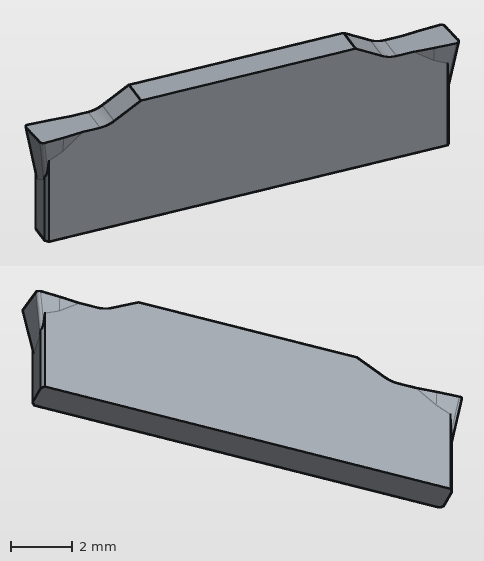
import math

import cadquery as cq


cutting_width = 1.2
overall_length = 15.0
overall_height = 4.72

body_width = 1.0
body_length = 14.4
rake_height = 4.035
top_flat_length = 7.64
ramp_angle = math.radians(30)
ramp_blend_radius = 1.0
end_chamfer_across = 0.12
end_chamfer_along = 0.10

corner_radius = 0.12
front_lead_slope = math.tan(math.radians(5))
front_relief_slope = math.tan(math.radians(8))
side_relief_slope = math.tan(math.radians(6.2))
side_taper_slope = math.tan(math.radians(3.1))
kink_y = -6.6
blend_y = -5.89
tip_depth = 2.15


def make_body():
    """Plate with a raised middle, ramps down to the rake level and chamfered ends."""
    half_length = body_length / 2
    ramp_top = top_flat_length / 2
    ramp_foot = ramp_top + (overall_height - rake_height) / math.tan(ramp_angle)
    blend_end = ramp_foot + ramp_blend_radius * math.tan(ramp_angle / 2)
    blend_center_z = rake_height + ramp_blend_radius

    def blend_point(angle):
        """Point on the blend arc, at an angle measured from its lowest point."""
        y = blend_end - ramp_blend_radius * math.sin(angle)
        z = blend_center_z - ramp_blend_radius * math.cos(angle)
        return y, z

    def mirrored(point):
        return -point[0], point[1]

    blend_middle = blend_point(ramp_angle / 2)
    blend_start = blend_point(ramp_angle)
    profile = (
        cq.Workplane("YZ")
        .moveTo(-half_length, 0)
        .lineTo(half_length, 0)
        .lineTo(half_length, rake_height)
        .lineTo(blend_end, rake_height)
        .threePointArc(blend_middle, blend_start)
        .lineTo(ramp_top, overall_height)
        .lineTo(-ramp_top, overall_height)
        .lineTo(*mirrored(blend_start))
        .threePointArc(mirrored(blend_middle), (-blend_end, rake_height))
        .lineTo(-half_length, rake_height)
        .close()
    )
    plate = profile.extrude(body_width / 2, both=True)

    half_width = body_width / 2
    chamfered_plan = (
        cq.Workplane("XY")
        .moveTo(half_width, half_length - end_chamfer_along)
        .lineTo(half_width - end_chamfer_across, half_length)
        .lineTo(-half_width + end_chamfer_across, half_length)
        .lineTo(-half_width, half_length - end_chamfer_along)
        .lineTo(-half_width, -half_length + end_chamfer_along)
        .lineTo(-half_width + end_chamfer_across, -half_length)
        .lineTo(half_width - end_chamfer_across, -half_length)
        .lineTo(half_width, -half_length + end_chamfer_along)
        .close()
        .extrude(overall_height)
    )
    return plate.intersect(chamfered_plan)


def tip_outline(depth):
    """Sharp-cornered plan outline of the -Y tip at a depth below the rake face."""
    center_x = cutting_width / 2 - corner_radius
    leading_center_y = -overall_length / 2 + corner_radius

    def corner_center_y(side):
        return leading_center_y + front_lead_slope * center_x * (1 + side)

    front_middle_y = (
        corner_center_y(0)
        - corner_radius * math.hypot(1, front_lead_slope)
        + front_relief_slope * depth
    )

    def flank_half_width(side, y):
        rake_half_width = (
            center_x
            + corner_radius * math.hypot(1, side_taper_slope)
            + side_taper_slope * (corner_center_y(side) - y)
        )
        return rake_half_width - side_relief_slope * depth

    def front_corner(side):
        """Intersection of the front edge with the flank edge of one side."""
        half_width_at_middle = flank_half_width(side, front_middle_y)
        x = side * half_width_at_middle / (1 + side * side_taper_slope * front_lead_slope)
        return x, front_middle_y + front_lead_slope * x

    def flank_points(side):
        blend_half_width = body_width / 2 - side_relief_slope * depth
        return [
            front_corner(side),
            (side * flank_half_width(side, kink_y), kink_y),
            (side * blend_half_width, blend_y),
        ]

    return flank_points(1) + flank_points(-1)[::-1]


def make_tip():
    """Cutting tip at the -Y end, narrowing downward, with rounded front corners."""
    rake_wire = cq.Workplane("XY").workplane(offset=rake_height).polyline(tip_outline(0)).close()
    lower_wire = rake_wire.workplane(offset=-tip_depth).polyline(tip_outline(tip_depth)).close()
    tip = lower_wire.loft(ruled=True)
    front_corner_edges = cq.selectors.BoxSelector(
        (-cutting_width, -overall_length, rake_height - tip_depth * 3 / 4),
        (cutting_width, kink_y - corner_radius, rake_height - tip_depth / 4),
    )
    return tip.edges(front_corner_edges).fillet(corner_radius)


result = make_body()
for turn in (0, 180):
    result = result.union(make_tip().rotate((0, 0, 0), (0, 0, 1), turn))